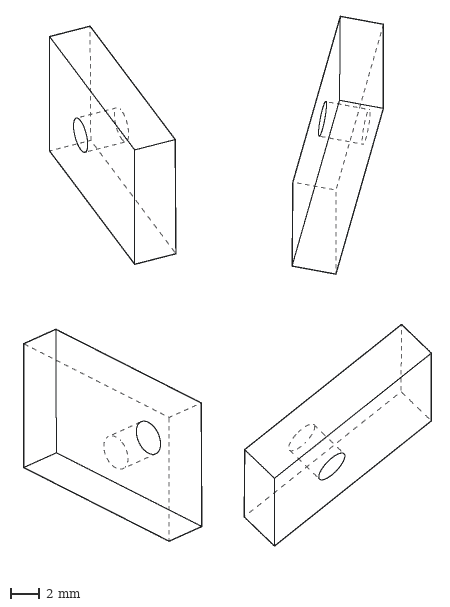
import cadquery as cq

plate_length = 15.046
bottom_thickness = 3.2
top_thickness = 3.145
plate_height = 10.0
plate_turn = -4.77

hole_diameter = 2.5
hole_from_left_end = 5.5


def make_plate():
    """Plate with its front face on Y = 0 and its left end on X = 0, standing on Z = 0."""
    end_profile = [
        (0, 0),
        (bottom_thickness, 0),
        (top_thickness, plate_height),
        (0, plate_height),
    ]
    return cq.Workplane("YZ").polyline(end_profile).close().extrude(plate_length)


def make_hole_cutter():
    """Round bar along Y, square to the front face, reaching through the plate."""
    return (
        cq.Workplane("XZ")
        .center(hole_from_left_end, plate_height / 2)
        .circle(hole_diameter / 2)
        .extrude(-bottom_thickness)
    )


plate = make_plate().cut(make_hole_cutter())
centred_plate = plate.translate((-plate_length / 2, -bottom_thickness / 2, -plate_height / 2))
result = centred_plate.rotate((0, 0, 0), (0, 0, 1), plate_turn)